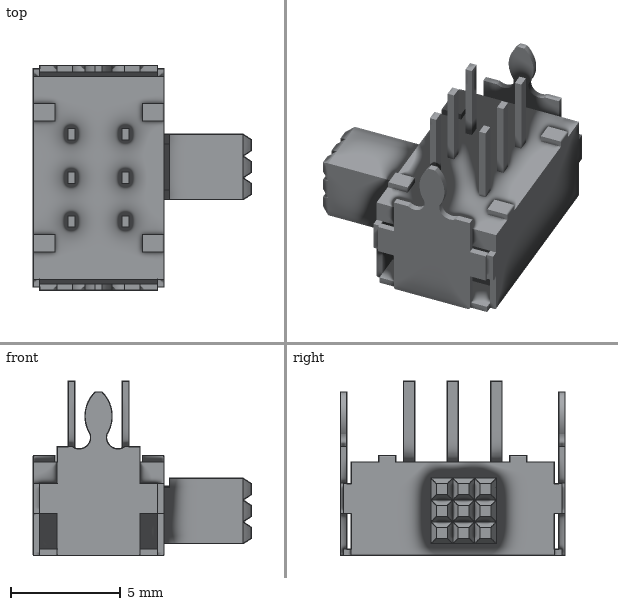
import cadquery as cq
import math


shell_x = 6.0
shell_y = 9.3
shell_top = 4.3
sheet = 0.3
center_x = shell_x / 2
cavity_top = 3.3
bend_radius = 0.08

overall_reach_y = 10.0
ear_bottom = 1.93

clip_x = 1.0
clip_y = 0.8
clip_top = 4.6
clip_offset_y = 3.0
clip_radius = 0.08

pin_x = 0.32
pin_y = 0.52
pin_top = 8.0
pin_pitch_x = 2.48
pin_pitch_y = 2.0

plate_outer_y = 10.3 / 2
plate_half_x = 1.9
plate_top = 5.0
arm_half_x = center_x - sheet
arm_top = 3.33
tab_top = 7.5
tab_tip_half = 0.16
bulge_half = 0.625
bulge_z = 6.34
scoop_radius = 0.52
scoop_offset_x = 0.89
scoop_z = 5.42
scoop_upper_angle = math.radians(163)

lever_size = 3.0
lever_center_y = 0.5
lever_bottom = 0.55
lever_tip = 10.0
neck_end = 6.24
neck_top = 3.19
neck_side_top = 3.12
neck_crown_y = 2.1
slider_y = 6.0

teeth_per_side = 3
tooth_pitch = lever_size / teeth_per_side
tooth_height = 0.38
tooth_tip = tooth_pitch / 2
lever_face = lever_tip - tooth_height


def block(x_range, y_range, z_range):
    """Axis-aligned box given by its limits along each axis."""
    (x0, x1), (y0, y1), (z0, z1) = x_range, y_range, z_range
    return cq.Workplane("XY").box(x1 - x0, y1 - y0, z1 - z0, centered=False).translate((x0, y0, z0))


def span(center, size):
    """Limits of a length centred on a position."""
    return (center - size / 2, center + size / 2)


def make_shell():
    """Insulator and shell, hollow below the insulator and open at both Y ends."""
    inner_x = (sheet, shell_x - sheet)
    body = block((0, shell_x), span(0, shell_y), (0, shell_top))
    body = body.edges("|Y and <Z").fillet(bend_radius)
    body = body.cut(block(inner_x, span(0, shell_y), (sheet, cavity_top)))
    for wall_x in ((0, sheet), (shell_x - sheet, shell_x)):
        for side in (-1, 1):
            ear_y = sorted((side * (shell_y / 2 - sheet), side * overall_reach_y / 2))
            body = body.union(block(wall_x, ear_y, (ear_bottom, cavity_top)))
    return body.union(block(inner_x, span(0, overall_reach_y), (0, sheet)))


def make_clips():
    """Four clips on the top, rounded along their outer edges."""
    clips = cq.Workplane("XY")
    for y in (-clip_offset_y, clip_offset_y):
        left = block((0, clip_x), span(y, clip_y), (cavity_top, clip_top))
        left = left.edges("|Y and >Z and <X").fillet(clip_radius)
        clips = clips.add(left).add(left.mirror("YZ", (center_x, 0, 0)))
    return clips.combine()


def make_pins():
    """Two rows of three rectangular terminals."""
    pins = cq.Workplane("XY")
    for x in (center_x - pin_pitch_x / 2, center_x + pin_pitch_x / 2):
        for row in (-1, 0, 1):
            pins = pins.add(block(span(x, pin_x), span(row * pin_pitch_y, pin_y), (cavity_top, pin_top)))
    return pins.combine()


def make_end_plate():
    """Plate at the -Y end: cross-shaped below, with a leaf-shaped snap-in tab on top."""

    def scoop_point(angle):
        return (scoop_offset_x + scoop_radius * math.cos(angle), scoop_z + scoop_radius * math.sin(angle))

    scoop_lower_angle = math.asin((plate_top - scoop_z) / scoop_radius)
    scoop_middle_angle = (scoop_lower_angle + scoop_upper_angle) / 2 - math.pi
    half = (
        cq.Workplane("XZ", origin=(center_x, -plate_outer_y + sheet, 0))
        .moveTo(0, 0)
        .lineTo(plate_half_x - bend_radius, 0)
        .radiusArc((plate_half_x, bend_radius), -bend_radius)
        .lineTo(plate_half_x, ear_bottom)
        .lineTo(arm_half_x, ear_bottom)
        .lineTo(arm_half_x, arm_top)
        .lineTo(plate_half_x, arm_top)
        .lineTo(plate_half_x, plate_top)
        .lineTo(*scoop_point(scoop_lower_angle))
        .threePointArc(
            scoop_point(scoop_middle_angle),
            scoop_point(scoop_upper_angle),
        )
        .threePointArc((bulge_half, bulge_z), (tab_tip_half, tab_top))
        .lineTo(0, tab_top)
        .close()
        .extrude(sheet)
    )
    return half.union(half.mirror("YZ", (center_x, 0, 0)))


def make_tooth(y, z):
    """Square frustum standing on the lever end face."""
    return (
        cq.Workplane("YZ", origin=(lever_face, y, z))
        .rect(tooth_pitch, tooth_pitch)
        .workplane(offset=tooth_height)
        .rect(tooth_tip, tooth_tip)
        .loft()
    )


def make_slider():
    """Slider inside the shell with its necked square lever and the teeth on its end."""
    inner_x = (sheet, shell_x - sheet)
    lever_y = span(lever_center_y, lever_size)
    neck_x = (shell_x - sheet, neck_end)
    slider = block(inner_x, span(lever_center_y, slider_y), (sheet, cavity_top))
    slider = slider.union(block(neck_x, lever_y, (lever_bottom, neck_side_top)))
    slider = slider.union(block(neck_x, span(lever_center_y, neck_crown_y), (lever_bottom, neck_top)))
    slider = slider.union(
        block((neck_end, lever_face), lever_y, (lever_bottom, lever_bottom + lever_size))
    )
    for column in range(teeth_per_side):
        for row in range(teeth_per_side):
            y = lever_y[0] + (column + 0.5) * tooth_pitch
            z = lever_bottom + (row + 0.5) * tooth_pitch
            slider = slider.union(make_tooth(y, z))
    return slider


end_plate = make_end_plate()
result = (
    make_shell()
    .union(make_clips())
    .union(make_pins())
    .union(end_plate)
    .union(end_plate.mirror("XZ"))
    .union(make_slider())
)